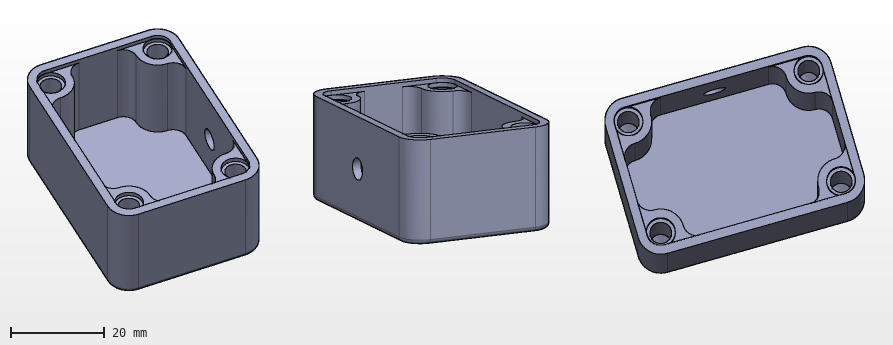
import cadquery as cq
import math

length = 50
width = 35
height = 23
corner_radius = 5
bottom_fillet = 1

wall_thickness = 2
rim_depth = 1
floor_thickness = 2

post_x = length / 2 - corner_radius
post_y = width / 2 - corner_radius
post_radius = 5
counterbore_diameter = 6.2
counterbore_depth = 1
screw_hole_diameter = 4.6
screw_hole_depth = 15
drill_tip_angle = 118

cable_hole_diameter = 4.8
cable_hole_height = height / 2

rim_floor = height - rim_depth
post_centers = [(sx * post_x, sy * post_y) for sx in (-1, 1) for sy in (-1, 1)]


def make_body():
    """Rounded block with a softened bottom edge."""
    block = cq.Workplane("XY").box(length, width, height, centered=(True, True, False))
    return block.edges("|Z").fillet(corner_radius).faces("<Z").edges().fillet(bottom_fillet)


def make_rim_recess():
    """Shallow recess inside the rim that seats a lid."""
    recess = cq.Workplane("XY").workplane(offset=rim_floor).box(
        length - 2 * wall_thickness, width - 2 * wall_thickness, rim_depth, centered=(True, True, False)
    )
    return recess.edges("|Z").fillet(corner_radius - wall_thickness)


def make_cavity():
    """Deep pocket that flows around the posts with tangent blend arcs."""
    half_x = length / 2 - wall_thickness
    half_y = width / 2 - wall_thickness
    blend = corner_radius - wall_thickness
    bend = blend * math.sqrt(0.5)
    post_bend = post_radius * math.sqrt(0.5)
    near_x = post_x - post_radius
    near_y = post_y - post_radius

    quarter = (
        cq.Workplane("XY")
        .workplane(offset=floor_thickness)
        .lineTo(half_x, 0)
        .lineTo(half_x, near_y - blend)
        .threePointArc((post_x + bend, near_y - blend + bend), (post_x, near_y))
        .threePointArc((post_x - post_bend, post_y - post_bend), (near_x, post_y))
        .threePointArc((near_x - blend + bend, post_y + bend), (near_x - blend, half_y))
        .lineTo(0, half_y)
        .close()
        .extrude(height - floor_thickness)
    )
    half = quarter.union(quarter.mirror("YZ"))
    return half.union(half.mirror("XZ")).clean()


def make_screw_hole(center):
    """Counterbored blind hole with a conical drill tip."""
    radius = screw_hole_diameter / 2
    tip_length = radius / math.tan(math.radians(drill_tip_angle / 2))
    hole_bottom = rim_floor - screw_hole_depth
    counterbore_floor = rim_floor - counterbore_depth
    profile = [
        (0, hole_bottom - tip_length),
        (radius, hole_bottom),
        (radius, counterbore_floor),
        (counterbore_diameter / 2, counterbore_floor),
        (counterbore_diameter / 2, rim_floor),
        (0, rim_floor),
    ]
    hole = cq.Workplane("XZ").polyline(profile).close().revolve(360, (0, 0), (0, 1))
    return hole.translate((*center, 0))


def make_cable_hole():
    """Round opening from the middle of the cavity out through the +Y wall."""
    return (
        cq.Workplane("XZ")
        .center(0, cable_hole_height)
        .circle(cable_hole_diameter / 2)
        .extrude(-width)
    )


result = make_body().cut(make_cavity()).cut(make_rim_recess())
for post_center in post_centers:
    result = result.cut(make_screw_hole(post_center))
result = result.cut(make_cable_hole())